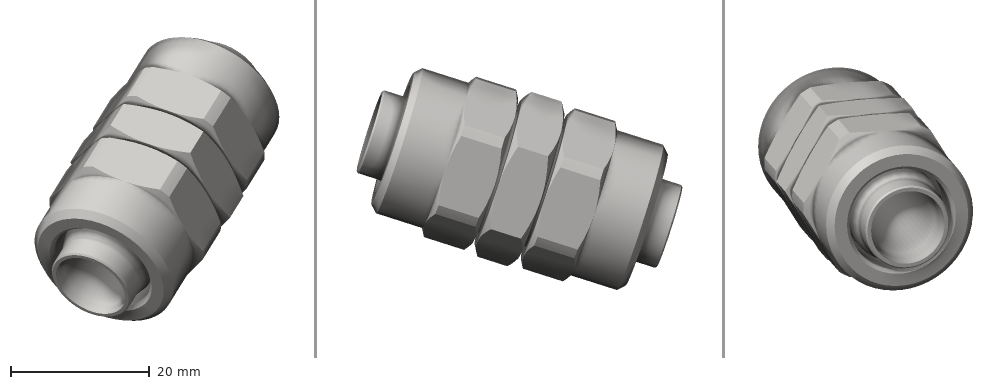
import cadquery as cq
import math

length = 45.5
across_flats = 22.0
flat_radius = across_flats / 2
hex_corner_radius = flat_radius / math.cos(math.pi / 6)

body_hex_width = 6.5

collar_radius = 9.0
collar_flare = 0.25

gap = 0.5
nut_hex_length = 7.5
nut_corner_radius = 12.25
nut_shoulder_length = 8.0
nut_chamfer = 1.0
hex_chamfer_angle = 30.0

opening_radius = 7.65
opening_chamfer = 0.5
opening_depth = 5.45

bore_radius = 5.5
tube_radius = 6.3
tube_root_radius = 7.0
tube_taper_length = 2.5
tube_tip_chamfer = 0.25

body_hex_end = body_hex_width / 2
nut_inner_end = body_hex_end + gap
nut_hex_end = nut_inner_end + nut_hex_length
nut_outer_end = nut_hex_end + nut_shoulder_length
opening_floor = nut_outer_end - opening_depth
tube_end = length / 2


def revolve_profile(points):
    """Revolve an outline of (radius, y) points about the Y axis."""
    return cq.Workplane("XY").polyline(points).close().revolve(360, (0, 0, 0), (0, 1, 0))


def chamfered_hexagon(y_start, y_end, corner_radius):
    """Hexagon along Y with flats facing +Z and -Z, with corners and end edges turned round."""
    hexagon = (
        cq.Workplane("XZ", origin=(0, y_start, 0))
        .polygon(6, 2 * hex_corner_radius)
        .extrude(y_start - y_end)
    )
    drop = (corner_radius - flat_radius) * math.tan(math.radians(hex_chamfer_angle))
    envelope = revolve_profile([
        (0, y_start),
        (flat_radius, y_start),
        (corner_radius, y_start + drop),
        (corner_radius, y_end - drop),
        (flat_radius, y_end),
        (0, y_end),
    ])
    return hexagon.intersect(envelope)


def nut():
    """Nut on the +Y side: rounded hexagon, round shoulder and hose opening."""
    hexagon = chamfered_hexagon(nut_inner_end, nut_hex_end, nut_corner_radius)
    shoulder = revolve_profile([
        (0, nut_hex_end),
        (flat_radius, nut_hex_end),
        (flat_radius, nut_outer_end - nut_chamfer),
        (flat_radius - nut_chamfer, nut_outer_end),
        (0, nut_outer_end),
    ])
    opening = revolve_profile([
        (0, opening_floor),
        (opening_radius, opening_floor),
        (opening_radius, nut_outer_end - opening_chamfer),
        (opening_radius + opening_chamfer, nut_outer_end),
        (0, nut_outer_end),
    ])
    return hexagon.union(shoulder).cut(opening)


def collar():
    """Collar that fills the gap between the central hexagon and the +Y nut."""
    return revolve_profile([
        (0, body_hex_end),
        (collar_radius + collar_flare, body_hex_end),
        (collar_radius, body_hex_end + collar_flare),
        (collar_radius, nut_inner_end),
        (0, nut_inner_end),
    ])


def tube():
    """Hose tube on the +Y side, tapering down from its root to a plain end."""
    return revolve_profile([
        (0, opening_floor),
        (tube_root_radius, opening_floor),
        (tube_root_radius, nut_outer_end - tube_taper_length),
        (tube_radius, nut_outer_end),
        (tube_radius, tube_end - tube_tip_chamfer),
        (tube_radius - tube_tip_chamfer, tube_end),
        (0, tube_end),
    ])


body_hexagon = chamfered_hexagon(-body_hex_end, body_hex_end, hex_corner_radius)

half = collar().union(nut()).union(tube())
bore = cq.Workplane("XZ").circle(bore_radius).extrude(tube_end, both=True)

result = body_hexagon.union(half).union(half.mirror("XZ")).cut(bore)